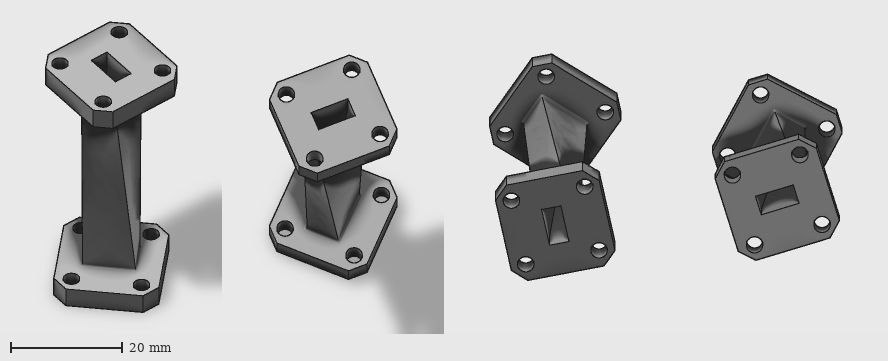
import cadquery as cq

overall_length = 50.8
twist_angle = 45.0

flange_side = 19.05
flange_thickness = 4.1
flange_corner_cut = 2.54

bolt_spacing_x = 12.7
bolt_spacing_y = 13.46
bolt_hole_diameter = 2.95

bore_width = 7.112
bore_height = 3.556
wall_thickness = 1.27
root_fillet_radius = 0.5

tube_width = bore_width + 2 * wall_thickness
tube_height = bore_height + 2 * wall_thickness
top_flange_z = overall_length - flange_thickness


def place_at_bottom(body):
    """Turn a body about Z to the angle of the bottom end."""
    return body.rotate((0, 0, 0), (0, 0, 1), twist_angle)


def place_at_top(body):
    """Raise a body to the level of the top flange."""
    return body.translate((0, 0, top_flange_z))


def make_flange_plate():
    """Square plate with cut corners."""
    return (
        cq.Workplane("XY")
        .rect(flange_side, flange_side)
        .extrude(flange_thickness)
        .edges("|Z")
        .chamfer(flange_corner_cut)
    )


def make_flange_openings():
    """Four bolt holes and the rectangular port, through one flange."""
    bolt_holes = (
        cq.Workplane("XY")
        .rect(bolt_spacing_x, bolt_spacing_y, forConstruction=True)
        .vertices()
        .circle(bolt_hole_diameter / 2)
        .extrude(flange_thickness)
    )
    port = cq.Workplane("XY").rect(bore_width, bore_height).extrude(flange_thickness)
    return bolt_holes.union(port)


def make_twisted_bar(width, height):
    """Rectangular bar between the flanges, with straight corner edges and ruled sides."""
    bottom_section = cq.Workplane("XY").rect(width, height)
    top_section = cq.Workplane("XY").rect(width, height)
    bottom_wire = place_at_bottom(bottom_section).translate((0, 0, flange_thickness)).val()
    top_wire = place_at_top(top_section).val()
    return cq.Workplane(obj=cq.Solid.makeLoft([bottom_wire, top_wire], True))


def fillet_tube_roots(body):
    """Round the corner where the tube walls meet the inner face of each flange."""
    zone_half_side = tube_width / 2 + root_fillet_radius
    zone_half_depth = root_fillet_radius / 2
    for root_z in (flange_thickness, top_flange_z):
        root_zone = cq.selectors.BoxSelector(
            (-zone_half_side, -zone_half_side, root_z - zone_half_depth),
            (zone_half_side, zone_half_side, root_z + zone_half_depth),
        )
        body = body.edges(root_zone).fillet(root_fillet_radius)
    return body


outer_body = (
    place_at_bottom(make_flange_plate())
    .union(make_twisted_bar(tube_width, tube_height))
    .union(place_at_top(make_flange_plate()))
)

result = (
    fillet_tube_roots(outer_body)
    .cut(place_at_bottom(make_flange_openings()))
    .cut(place_at_top(make_flange_openings()))
    .cut(make_twisted_bar(bore_width, bore_height))
)